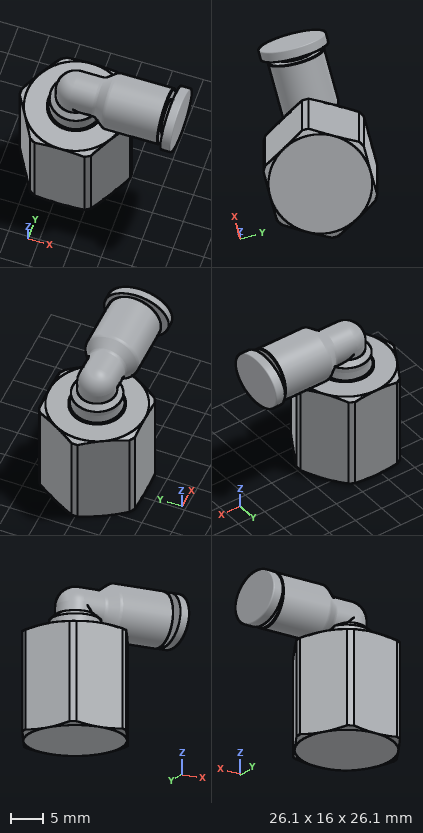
import cadquery as cq
import math

hexagon_sides = 6
across_flats = 16.0
corner_radius = 8.95
body_height = 16.83
chamfer_circle_radius = 7.99
chamfer_angle = 20

overall_height = 26.1
socket_radius = 4.5
socket_axis_z = overall_height - socket_radius
socket_end_x = 14.75
socket_edge_chamfer = 0.1
neck_radius = 2.8
elbow_radius = 3.1
shoulder_start_x = 3.95
shoulder_end_x = 5.8
shoulder_fillet = 0.78

collar_start_x = 15.48
collar_end_x = 17.1
collar_half_width = 5.4
collar_half_height = 4.3
collar_fillet = 0.2

stem_radius = 4.05
stem_foot_radius = 4.2
stem_seat_radius = 4.45
stem_seat_height = 0.15
stem_taper_top_z = socket_axis_z - 3.31
stem_top_z = socket_axis_z - 2.35
stem_cone_top_z = socket_axis_z - 1.51


def revolve_about_z(profile):
    """Solid of revolution from (radius, z) points that start and end on the Z axis."""
    return cq.Workplane("XZ").polyline(profile).close().revolve(360, (0, 0), (0, 1))


def make_body():
    """Hexagon with corners pointing along X, turned and chamfered at both ends."""
    across_corners = across_flats / math.cos(math.pi / hexagon_sides)
    hexagon = cq.Workplane("XY").polygon(hexagon_sides, across_corners).extrude(body_height)
    chamfer_drop = (corner_radius - chamfer_circle_radius) * math.tan(math.radians(chamfer_angle))
    turned_blank = revolve_about_z([
        (0, 0),
        (chamfer_circle_radius, 0),
        (corner_radius, chamfer_drop),
        (corner_radius, body_height - chamfer_drop),
        (chamfer_circle_radius, body_height),
        (0, body_height),
    ])
    return hexagon.intersect(turned_blank)


def make_stem():
    """Stepped stem rising from the body to the elbow axis."""
    return revolve_about_z([
        (0, body_height),
        (stem_seat_radius, body_height),
        (stem_foot_radius, body_height + stem_seat_height),
        (stem_radius, stem_taper_top_z),
        (stem_radius, stem_top_z),
        (elbow_radius, stem_cone_top_z),
        (elbow_radius, socket_axis_z),
        (0, socket_axis_z),
    ])


def make_elbow():
    """Ball that joins the stem and the socket."""
    return cq.Workplane("XY").sphere(elbow_radius).translate((0, 0, socket_axis_z))


def make_socket():
    """Elbow arm, blended conical shoulder, socket barrel and the neck of the collar."""
    barrel = (
        cq.Workplane("XZ")
        .moveTo(0, 0)
        .lineTo(0, elbow_radius)
        .lineTo(shoulder_start_x, elbow_radius)
        .lineTo(shoulder_end_x, socket_radius)
        .lineTo(socket_end_x, socket_radius)
        .lineTo(socket_end_x, 0)
        .close()
        .revolve(360, (0, 0), (1, 0))
        .faces(">X").edges().chamfer(socket_edge_chamfer)
    )
    for shoulder_edge_x in (shoulder_start_x, shoulder_end_x):
        edge_point = cq.selectors.NearestToPointSelector((shoulder_edge_x, 0, 0))
        barrel = barrel.edges(edge_point).fillet(shoulder_fillet)
    neck = cq.Workplane("YZ").circle(neck_radius).extrude(collar_start_x)
    return barrel.union(neck).translate((0, 0, socket_axis_z))


def make_collar():
    """Elliptical collar with a rounded outer rim."""
    return (
        cq.Workplane("YZ", origin=(collar_start_x, 0, socket_axis_z))
        .ellipse(collar_half_width, collar_half_height)
        .extrude(collar_end_x - collar_start_x)
        .faces(">X").edges().fillet(collar_fillet)
    )


result = make_body()
for piece in (make_stem(), make_elbow(), make_socket(), make_collar()):
    result = result.union(piece)